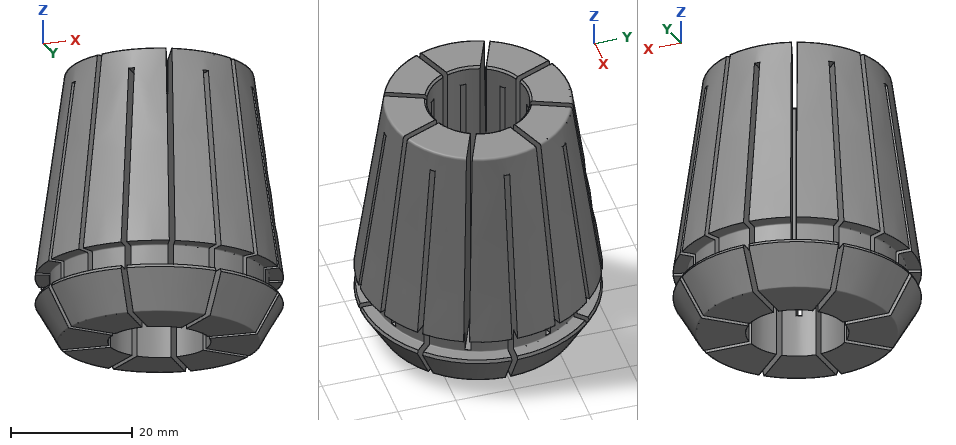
import cadquery as cq
import math

total_height = 46
max_diameter = 41.0
bore_radius = 8.5
bore_chamfer = 0.35

taper_base_z = 11.1
taper_angle = 8
top_edge_round = 0.45

groove_radius = 18.12
groove_root_round = 0.2
flange_top_z = 7.1
rim_z = 6.55
rim_chamfer = 0.28
flange_angle = 30
bottom_edge_round = 0.25

slot_width = 0.95
slots_per_end = 8
lower_slot_top_z = 42.5
upper_slot_floor_z = 7.5

max_radius = max_diameter / 2
top_radius = max_radius - (total_height - taper_base_z) * math.tan(math.radians(taper_angle))
base_radius = max_radius - rim_z * math.tan(math.radians(flange_angle))
slot_pitch = 360 / slots_per_end


def make_body():
    """Collet body revolved around Z, with its end edges and groove roots rounded."""
    profile = (
        cq.Workplane("XZ")
        .moveTo(0, 0)
        .lineTo(base_radius, 0)
        .lineTo(max_radius, rim_z)
        .lineTo(max_radius - rim_chamfer, flange_top_z)
        .lineTo(groove_radius, flange_top_z)
        .lineTo(groove_radius, taper_base_z)
        .lineTo(max_radius, taper_base_z)
        .lineTo(top_radius, total_height)
        .lineTo(0, total_height)
        .close()
    )
    body = profile.revolve(360, (0, 0, 0), (0, 1, 0))
    body = body.faces(">Z").edges().fillet(top_edge_round)
    body = body.faces("<Z").edges().fillet(bottom_edge_round)
    smallest_radius = cq.selectors.RadiusNthSelector(0)
    groove_band = cq.selectors.BoxSelector(
        (-max_radius, -max_radius, flange_top_z - groove_root_round),
        (max_radius, max_radius, taper_base_z + groove_root_round),
        boundingbox=True,
    )
    return body.edges(groove_band).edges("%CIRCLE").edges(smallest_radius).fillet(groove_root_round)


def cut_bore(body):
    """Through bore with a small chamfer at the top mouth."""
    bored = body.cut(cq.Workplane("XY").circle(bore_radius).extrude(total_height))
    mouth = cq.selectors.RadiusNthSelector(0)
    return bored.faces(">Z").edges(mouth).chamfer(bore_chamfer)


def radial_slots(bottom_z, top_z, first_angle):
    """Ring of radial slots running from the axis out past the largest radius."""
    slots = cq.Workplane("XY")
    blade = cq.Workplane("XY", origin=(0, 0, bottom_z)).box(
        max_diameter, slot_width, top_z - bottom_z, centered=(False, True, False)
    )
    for index in range(slots_per_end):
        angle = first_angle + index * slot_pitch
        slots = slots.add(blade.rotate((0, 0, 0), (0, 0, 1), angle))
    return slots.combine()


collet = cut_bore(make_body())

collet = collet.cut(radial_slots(0, lower_slot_top_z, 0))
result = collet.cut(radial_slots(upper_slot_floor_z, total_height, slot_pitch / 2))